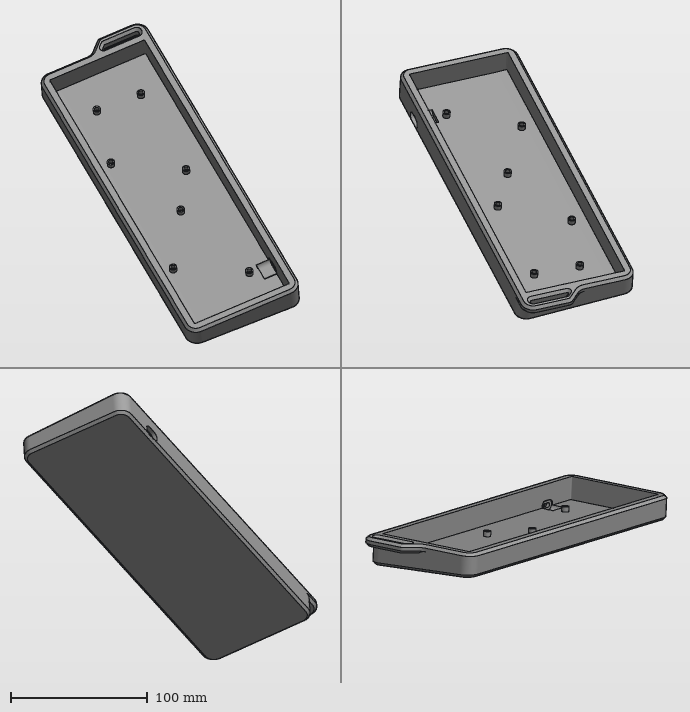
import cadquery as cq
import math

TILT = 3.0
CASE_LENGTH = 258.5
CASE_DEPTH = 91.2
BACK_RIM_HEIGHT = 22.9
CORNER_RADIUS = 9.1
EDGE_CHAMFER = 2.2

WALL = 7.0
CAVITY_DEPTH = 17.5
CAVITY_CORNER_RADIUS = 0.8
FLAT_FLOOR_THICKNESS = 1.5

LUG_REACH = 10.5
LUG_THICKNESS = 7.0
LUG_STRAIGHT_LENGTH = 36.3
LUG_TIP_RADIUS = 4.0
LUG_ROOT_RADIUS = 8.0
LUG_OVERLAP = 5.5

SLOT_WIDTH = 4.0
SLOT_BACK_DISTANCE = 7.3
SLOT_LENGTH = 31.2
SLOT_BACK_RADIUS = 1.75
SLOT_FRONT_RADIUS = 0.8

POST_DIAMETER = 5.5
POST_BORE = 3.2
POST_HEIGHT = 3.8
POST_ROOT = 0.5
POST_CENTERS = [
    (-84.7, 19.4),
    (-8.5, 19.4),
    (-86.5, -15.5),
    (-39.5, -27.0),
    (22.0, 0.3),
    (94.6, 21.0),
    (66.0, -27.2),
]

PORT_CENTER_X = 97.0
PORT_WIDTH = 14.0
PORT_HEIGHT = 8.0
PORT_RISE = 0.67
PORT_FLOOR_LENGTH = 10.0
PORT_WEB = 2.7
PORT_WEB_INSET = 1.0
SOCKET_WIDTH = 9.0
SOCKET_HEIGHT = 3.2

RIGHT = 134.5
LEFT = RIGHT - CASE_LENGTH
CENTER_X = (LEFT + RIGHT) / 2
BACK = CASE_DEPTH / 2
PRISM_HEIGHT = 2 * BACK_RIM_HEIGHT
CAVITY_BACK = BACK - WALL
PORT_END_Y = BACK + WALL


def tilt(shape):
    """Tilt a level shape and lift it so that the back rim edge is at its height."""
    drop = (BACK - EDGE_CHAMFER) * math.sin(math.radians(TILT))
    return shape.rotate((0, 0, 0), (1, 0, 0), TILT).translate((0, 0, BACK_RIM_HEIGHT - drop))


def fillet_upright_edge(shape, corner, radius):
    """Round the upright edge that passes nearest to the given plan corner."""
    edge = cq.selectors.NearestToPointSelector((corner[0], corner[1], -LUG_THICKNESS / 2))
    return shape.edges("|Z").edges(edge).fillet(radius)


def above(height):
    """Large block that fills the space above a horizontal plane."""
    size = 3 * CASE_LENGTH
    return cq.Workplane("XY").box(size, size, size, centered=(True, True, False)).translate((0, 0, height))


def port_profile(y):
    """Workplane across the port axis at the given depth."""
    return cq.Workplane("XZ", origin=(PORT_CENTER_X, y, PORT_RISE - CAVITY_DEPTH))


def make_case():
    return (
        cq.Workplane("XY")
        .center(CENTER_X, 0)
        .rect(CASE_LENGTH, CASE_DEPTH)
        .extrude(-PRISM_HEIGHT)
        .edges("|Z")
        .fillet(CORNER_RADIUS)
    )


def make_lug():
    tip_x = LEFT - LUG_REACH
    inner_x = LEFT + LUG_OVERLAP
    tip_front = BACK - LUG_STRAIGHT_LENGTH
    root_y = tip_front - LUG_REACH
    end_y = root_y - LUG_ROOT_RADIUS
    outline = [
        (tip_x, BACK),
        (tip_x, tip_front),
        (LEFT, root_y),
        (LEFT, end_y),
        (inner_x, end_y),
        (inner_x + CORNER_RADIUS, BACK),
    ]
    lug = cq.Workplane("XY").polyline(outline).close().extrude(-LUG_THICKNESS)
    lug = fillet_upright_edge(lug, outline[0], CORNER_RADIUS)
    lug = fillet_upright_edge(lug, outline[1], LUG_TIP_RADIUS)
    lug = fillet_upright_edge(lug, outline[2], LUG_ROOT_RADIUS)
    return lug.faces("<Z").edges().chamfer(EDGE_CHAMFER)


def make_slot():
    """Slot with a slanted front end, flush with the case wall on its inner side."""
    left = LEFT - SLOT_WIDTH
    back = BACK - SLOT_BACK_DISTANCE
    front = back - SLOT_LENGTH
    outline = [(left, back), (LEFT, back), (LEFT, front), (left, front + SLOT_WIDTH)]
    slot = cq.Workplane("XY").polyline(outline).close().extrude(-LUG_THICKNESS)
    slot = slot.edges("|Z and >Y").fillet(SLOT_BACK_RADIUS)
    return slot.edges("|Z").edges("<Y or <X").fillet(SLOT_FRONT_RADIUS)


def make_shell():
    """Case and lug with all rim edges, the slot mouth and the underside chamfered."""
    shell = make_case().union(make_lug()).cut(make_slot())
    shell = shell.faces(">Z").edges().chamfer(EDGE_CHAMFER)
    return tilt(shell).intersect(above(0)).faces("<Z").edges().chamfer(EDGE_CHAMFER)


def make_cavity():
    pocket = (
        cq.Workplane("XY")
        .center(CENTER_X, 0)
        .rect(CASE_LENGTH - 2 * WALL, CASE_DEPTH - 2 * WALL)
        .extrude(-CAVITY_DEPTH)
        .edges("|Z")
        .fillet(CAVITY_CORNER_RADIUS)
    )
    return tilt(pocket).intersect(above(FLAT_FLOOR_THICKNESS))


def make_posts():
    post_base = -CAVITY_DEPTH
    posts = (
        cq.Workplane("XY", origin=(0, 0, post_base - POST_ROOT))
        .pushPoints(POST_CENTERS)
        .circle(POST_DIAMETER / 2)
        .extrude(POST_HEIGHT + POST_ROOT)
    )
    bores = (
        cq.Workplane("XY", origin=(0, 0, post_base))
        .pushPoints(POST_CENTERS)
        .circle(POST_BORE / 2)
        .extrude(POST_HEIGHT)
    )
    return tilt(posts.cut(bores))


def make_port():
    """Rounded channel in the floor and back wall, closed by a web with a socket hole."""
    front_y = CAVITY_BACK - PORT_FLOOR_LENGTH
    web_y = CAVITY_BACK + PORT_WEB_INSET
    channel = port_profile(front_y).slot2D(PORT_WIDTH, PORT_HEIGHT).extrude(front_y - PORT_END_Y)
    web = port_profile(web_y).rect(PORT_WIDTH, PORT_HEIGHT).extrude(-PORT_WEB)
    socket = port_profile(web_y).slot2D(SOCKET_WIDTH, SOCKET_HEIGHT).extrude(-PORT_WEB)
    return tilt(channel.cut(web).union(socket))


result = make_shell().cut(make_cavity()).union(make_posts()).cut(make_port())